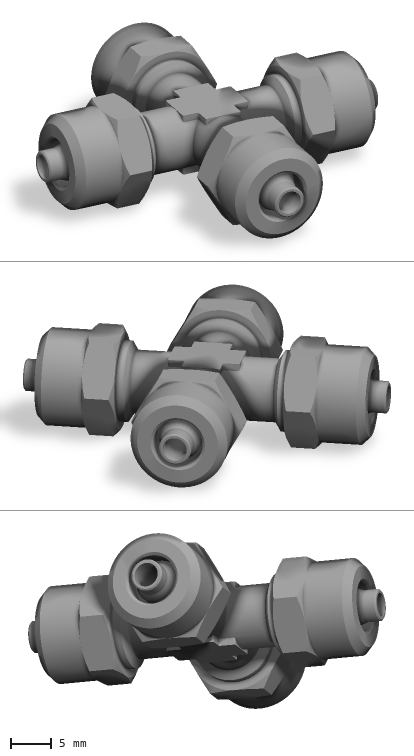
import cadquery as cq
import math


arm_length = 22.5
arm_angles = (0, 90, 180, 270)

pipe_radius = 3.9
collar_radius = 5.0
collar_start = 8.85
collar_chamfer_length = 0.68

nut_across_flats = 12.0
nut_radius = nut_across_flats / 2
hex_sides = 6
hex_start = 10.5
hex_end = 14.55
nut_face = 20.5
nut_rim_chamfer = 1.0
hex_corner_radius = nut_radius / math.cos(math.pi / hex_sides)
hex_chamfer_angle = math.radians(30)

opening_radius = 3.05
opening_chamfer = 0.3
opening_depth = 3.0
opening_floor = nut_face - opening_depth

barb_radius = 2.0
barb_tip_chamfer = 0.2
barb_flare_length = 1.75
barb_flare_radius = 2.55
bore_radius = 1.5

pad_half_length = 4.45
pad_half_width = 2.4
pad_half_height = 4.0
pad_corner_radius = 0.2


def turned(outline):
    """Revolve an outline of (distance along X, radius) points about the X axis."""
    return cq.Workplane("XY").polyline(outline).close().revolve(360, (0, 0, 0), (1, 0, 0))


def make_pipe():
    """Plain pipe from the centre, ending in a collar that backs the nut."""
    return turned([
        (0, 0),
        (0, pipe_radius),
        (collar_start, pipe_radius),
        (collar_start + collar_chamfer_length, collar_radius),
        (hex_start, collar_radius),
        (hex_start, 0),
    ])


def make_hex():
    """Hexagon with flats facing +Z and -Z and its corners chamfered at both ends."""
    corner_chamfer_length = (hex_corner_radius - nut_radius) * math.tan(hex_chamfer_angle)
    hexagon = (
        cq.Workplane("YZ", origin=(hex_start, 0, 0))
        .polygon(hex_sides, 2 * hex_corner_radius)
        .extrude(hex_end - hex_start)
    )
    envelope = turned([
        (hex_start, 0),
        (hex_start, nut_radius),
        (hex_start + corner_chamfer_length, hex_corner_radius),
        (hex_end - corner_chamfer_length, hex_corner_radius),
        (hex_end, nut_radius),
        (hex_end, 0),
    ])
    return hexagon.intersect(envelope)


def make_nut_sleeve():
    """Round front of the nut, with a chamfered rim and a chamfered round opening."""
    return turned([
        (hex_end, 0),
        (hex_end, nut_radius),
        (nut_face - nut_rim_chamfer, nut_radius),
        (nut_face, nut_radius - nut_rim_chamfer),
        (nut_face, opening_radius + opening_chamfer),
        (nut_face - opening_chamfer, opening_radius),
        (opening_floor, opening_radius),
        (opening_floor, 0),
    ])


def make_barb():
    """Hose barb that flares out to a wider shank inside the nut opening."""
    return turned([
        (opening_floor, 0),
        (opening_floor, barb_flare_radius),
        (nut_face - barb_flare_length, barb_flare_radius),
        (nut_face, barb_radius),
        (arm_length - barb_tip_chamfer, barb_radius),
        (arm_length, barb_radius - barb_tip_chamfer),
        (arm_length, 0),
    ])


def make_pads():
    """Cross-shaped block whose top and bottom stand just proud of the pipes."""
    long_side = 2 * pad_half_length
    short_side = 2 * pad_half_width
    height = 2 * pad_half_height
    along_x = cq.Workplane("XY").box(long_side, short_side, height)
    along_y = cq.Workplane("XY").box(short_side, long_side, height)
    return along_x.union(along_y).edges("|Z").fillet(pad_corner_radius)


def make_bores():
    """Two crossing bores that run right through the fitting."""
    bore = cq.Workplane("YZ", origin=(-arm_length, 0, 0)).circle(bore_radius).extrude(2 * arm_length)
    return bore.union(bore.rotate((0, 0, 0), (0, 0, 1), 90))


arm = make_pipe().union(make_hex()).union(make_nut_sleeve()).union(make_barb())

result = make_pads()
for angle in arm_angles:
    result = result.union(arm.rotate((0, 0, 0), (0, 0, 1), angle))
result = result.cut(make_bores())